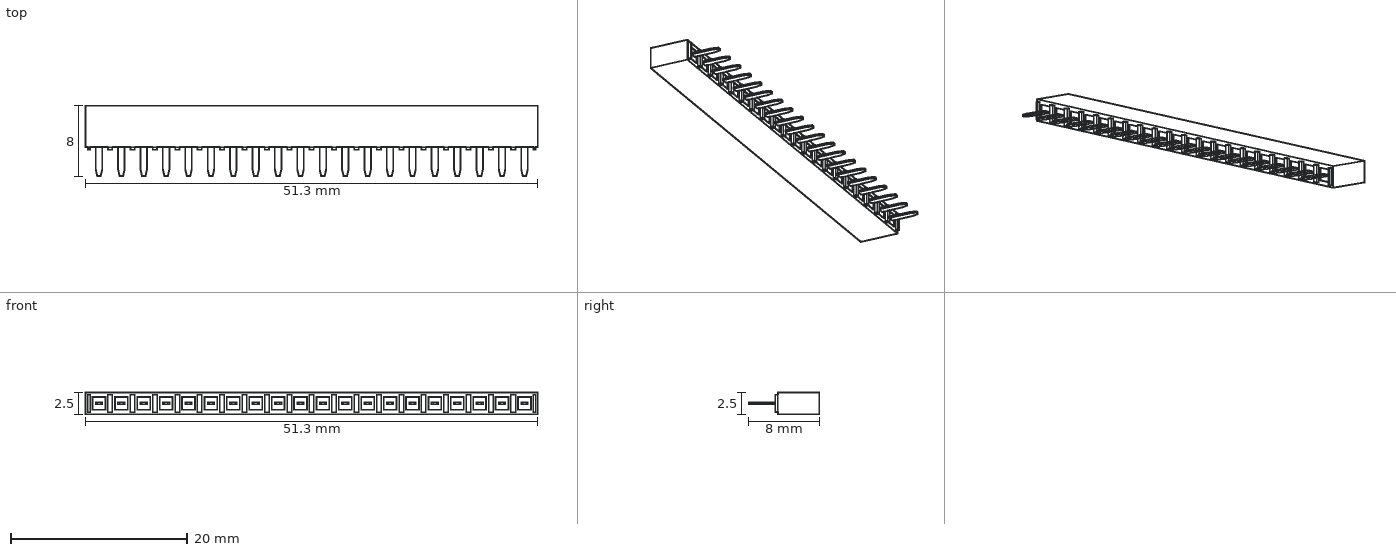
import cadquery as cq

pin_count = 20
pitch = 2.54
body_length = 51.3
body_depth = 4.7
body_height = 2.5

rib_width = 0.5
rib_height = 2.0
rib_projection = 0.3
end_rib_inset = 0.25

pocket_rim = 1.5
pocket_floor = 1.45
pocket_depth = 0.05

pin_width = 0.75
pin_thickness = 0.2
pin_projection = 3.3
tip_width = 0.4
tip_length = 0.75

pin_root = pocket_depth
taper_start = tip_length - pin_projection


def centred_positions(count):
    """X positions of a row of features at the pin pitch, centred on the body."""
    return [(index - (count - 1) / 2) * pitch for index in range(count)]


def block(width, height, x, back, front):
    """Block centred on the given X, reaching along Y from back to front."""
    return cq.Workplane("XY").box(width, back - front, height).translate((x, (back + front) / 2, 0))


def pin(x):
    """Flat pin rooted in the floor of its pocket, its sides tapering to a blunt tip."""
    half_width = pin_width / 2
    half_blade = (
        cq.Workplane("XY")
        .moveTo(0, pin_root)
        .lineTo(half_width, pin_root)
        .lineTo(half_width, taper_start)
        .lineTo(tip_width / 2, -pin_projection)
        .lineTo(0, -pin_projection)
        .close()
        .extrude(pin_thickness / 2, both=True)
    )
    return half_blade.union(half_blade.mirror("YZ")).clean().translate((x, 0, 0))


def pocket(x):
    """Shallow square pocket whose walls draw in from the rim to the floor."""
    return (
        cq.Workplane("XZ")
        .rect(pocket_rim, pocket_rim)
        .workplane(offset=-pocket_depth)
        .rect(pocket_floor, pocket_floor)
        .loft()
        .translate((x, 0, 0))
    )


pin_positions = centred_positions(pin_count)
rib_positions = centred_positions(pin_count + 1)

body = block(body_length, body_height, 0, body_depth, 0)
pockets = cq.Compound.makeCompound([pocket(x).val() for x in pin_positions])
body = body.cut(cq.Workplane(pockets))

ribs = cq.Compound.makeCompound(
    [block(rib_width, rib_height, x, 0, -rib_projection).val() for x in rib_positions]
)
rib_zone = block(body_length - 2 * end_rib_inset, rib_height, 0, 0, -rib_projection)
body = body.union(rib_zone.intersect(cq.Workplane(ribs)))

pins = cq.Compound.makeCompound([pin(x).val() for x in pin_positions])
result = body.union(cq.Workplane(pins))